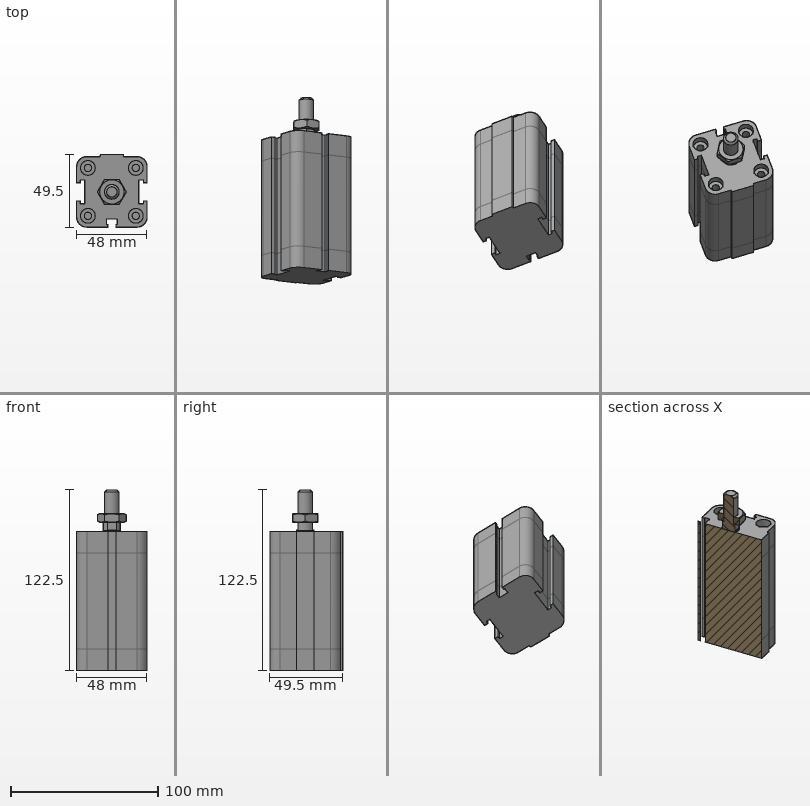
import cadquery as cq
import math

body_width = 48.0
body_height = 94.5
corner_radius = 7.0
cap_height = 14.7

rail_top_width = 15.4
rail_base_width = 16.2
rail_height = 1.5

side_slot_mouth_width = 12.2
side_slot_channel_width = 16.0
side_slot_lip = 2.7
front_slot_mouth_width = 5.5
front_slot_channel_width = 7.0
front_slot_lip = 2.0
slot_depth = 5.6

hole_pitch = 32.5
hole_diameter = 4.92
hole_depth = cap_height
counterbore_diameter = 10.0
counterbore_depth = 5.5

rod_shoulder_height = 6.0
foot_diameter = 12.0
foot_height = 0.45
shank_diameter = 11.7
flats_across = 10.0
flats_start = 0.7
stud_diameter = 10.0
stud_length = 22.0
stud_chamfer = 1.5

nut_across_flats = 17.0
nut_height = 6.0
nut_face_diameter = 16.5
nut_chamfer_angle = 30.0

half_width = body_width / 2
barrel_height = body_height - 2 * cap_height
nut_level = body_height + rod_shoulder_height
flat_length = rod_shoulder_height - flats_start


def level_plane(level):
    """Horizontal workplane at the height `level`."""
    return cq.Workplane("XY").workplane(offset=level)


def t_slot(mouth_width, channel_width, lip, angle):
    """T-slot cutter through the -Y face over the full body height, turned about Z by `angle` degrees."""
    slot = (
        cq.Workplane("XY")
        .moveTo(-mouth_width / 2, -half_width)
        .lineTo(-mouth_width / 2, lip - half_width)
        .lineTo(-channel_width / 2, lip - half_width)
        .lineTo(-channel_width / 2, slot_depth - half_width)
        .lineTo(channel_width / 2, slot_depth - half_width)
        .lineTo(channel_width / 2, lip - half_width)
        .lineTo(mouth_width / 2, lip - half_width)
        .lineTo(mouth_width / 2, -half_width)
        .close()
        .extrude(body_height)
    )
    return slot.rotate((0, 0, 0), (0, 0, 1), angle)


def make_profile(bottom, height):
    """One length of the slotted profile with its rail, standing on the level `bottom`."""
    block = level_plane(bottom).rect(body_width, body_width).extrude(height)
    block = block.edges("|Z").fillet(corner_radius)
    rail = (
        level_plane(bottom)
        .moveTo(-rail_base_width / 2, 0)
        .lineTo(-rail_base_width / 2, half_width)
        .lineTo(-rail_top_width / 2, half_width + rail_height)
        .lineTo(rail_top_width / 2, half_width + rail_height)
        .lineTo(rail_base_width / 2, half_width)
        .lineTo(rail_base_width / 2, 0)
        .close()
        .extrude(height)
    )
    profile = block.union(rail)
    profile = profile.cut(t_slot(front_slot_mouth_width, front_slot_channel_width, front_slot_lip, 0))
    for angle in (90, -90):
        profile = profile.cut(t_slot(side_slot_mouth_width, side_slot_channel_width, side_slot_lip, angle))
    return profile


def make_housing():
    housing = make_profile(0, cap_height)
    housing = housing.union(make_profile(cap_height, barrel_height), clean=False)
    housing = housing.union(make_profile(cap_height + barrel_height, cap_height), clean=False)

    centres = level_plane(body_height).rect(hole_pitch, hole_pitch, forConstruction=True).vertices()
    holes = centres.circle(hole_diameter / 2).extrude(-hole_depth)
    counterbores = centres.circle(counterbore_diameter / 2).extrude(-counterbore_depth)
    return housing.cut(holes, clean=False).cut(counterbores, clean=False)


def make_rod():
    foot = cq.Workplane(cq.Solid.makeCone(foot_diameter / 2, shank_diameter / 2, foot_height))
    foot = foot.translate((0, 0, body_height))
    shank_level = body_height + foot_height
    shank = level_plane(shank_level).circle(shank_diameter / 2).extrude(flats_start - foot_height)
    flats_level = body_height + flats_start
    flats = level_plane(flats_level).rect(shank_diameter, flats_across).extrude(flat_length)
    flatted_shank = level_plane(flats_level).circle(shank_diameter / 2).extrude(flat_length).intersect(flats)
    stud = level_plane(nut_level).circle(stud_diameter / 2).extrude(stud_length)
    stud = stud.faces(">Z").chamfer(stud_chamfer)
    return foot.union(shank).union(flatted_shank).union(stud)


def make_nut():
    across_corners = nut_across_flats / math.cos(math.pi / 6)
    corner_drop = (across_corners - nut_face_diameter) / 2 * math.tan(math.radians(nut_chamfer_angle))
    hexagon = cq.Workplane("XY").polygon(6, across_corners).extrude(nut_height)
    envelope = (
        cq.Workplane("XZ")
        .lineTo(nut_face_diameter / 2, 0)
        .lineTo(across_corners / 2, corner_drop)
        .lineTo(across_corners / 2, nut_height - corner_drop)
        .lineTo(nut_face_diameter / 2, nut_height)
        .lineTo(0, nut_height)
        .close()
        .revolve(360, (0, 0), (0, 1))
    )
    bore = cq.Workplane("XY").circle(stud_diameter / 2).extrude(nut_height)
    return hexagon.intersect(envelope).cut(bore).translate((0, 0, nut_level))


housing = make_housing()
rod = make_rod()
nut = make_nut()
result = cq.Compound.makeCompound([housing.val(), rod.val(), nut.val()])